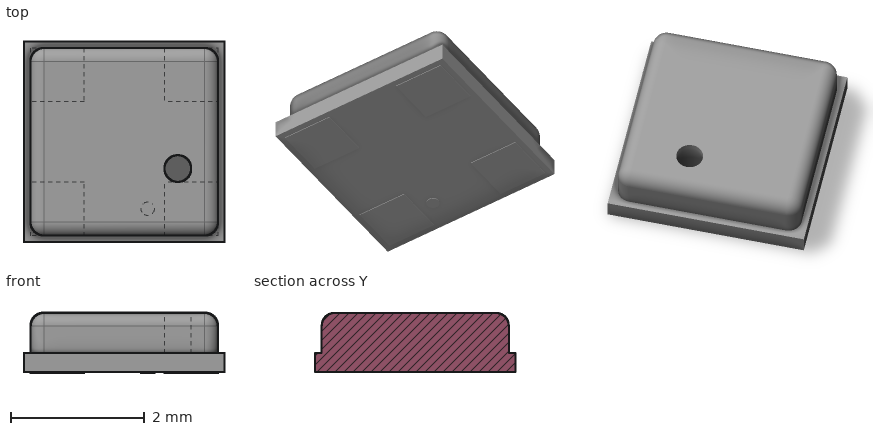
import cadquery as cq

body_side = 3.0
total_height = 0.9

pad_thickness = 0.01
pad_side = 0.8
pad_edge_margin = 0.1
pad_offset = body_side / 2 - pad_edge_margin - pad_side / 2

mark_diameter = 0.2
mark_gap = 0.15
mark_x = pad_offset - pad_side / 2 - mark_gap - mark_diameter / 2
mark_y = -pad_offset

lid_height = 0.6
lid_margin = 0.1
lid_side = body_side - 2 * lid_margin
lid_radius = 0.2

port_diameter = 0.4
port_x = 0.8
port_y = -0.4

substrate_thickness = total_height - lid_height - pad_thickness
substrate_top = pad_thickness + substrate_thickness


def make_substrate():
    """Square board standing on the pads."""
    return (
        cq.Workplane("XY", origin=(0, 0, pad_thickness))
        .rect(body_side, body_side)
        .extrude(substrate_thickness)
    )


def make_lid():
    """Square cap with rounded corners, a rounded top rim and the port hole."""
    lid = (
        cq.Workplane("XY", origin=(0, 0, substrate_top))
        .rect(lid_side, lid_side)
        .extrude(lid_height)
        .edges("|Z or >Z")
        .fillet(lid_radius)
    )
    port = (
        cq.Workplane("XY", origin=(port_x, port_y, substrate_top))
        .circle(port_diameter / 2)
        .extrude(lid_height)
    )
    return lid.cut(port)


def make_pads():
    """Four square corner pads."""
    corners = [(x, y) for x in (-pad_offset, pad_offset) for y in (-pad_offset, pad_offset)]
    return cq.Workplane("XY").pushPoints(corners).rect(pad_side, pad_side).extrude(pad_thickness)


def make_mark():
    """Round orientation mark, as thick as the pads."""
    return cq.Workplane("XY").center(mark_x, mark_y).circle(mark_diameter / 2).extrude(pad_thickness)


result = make_substrate().union(make_lid()).union(make_pads()).union(make_mark())